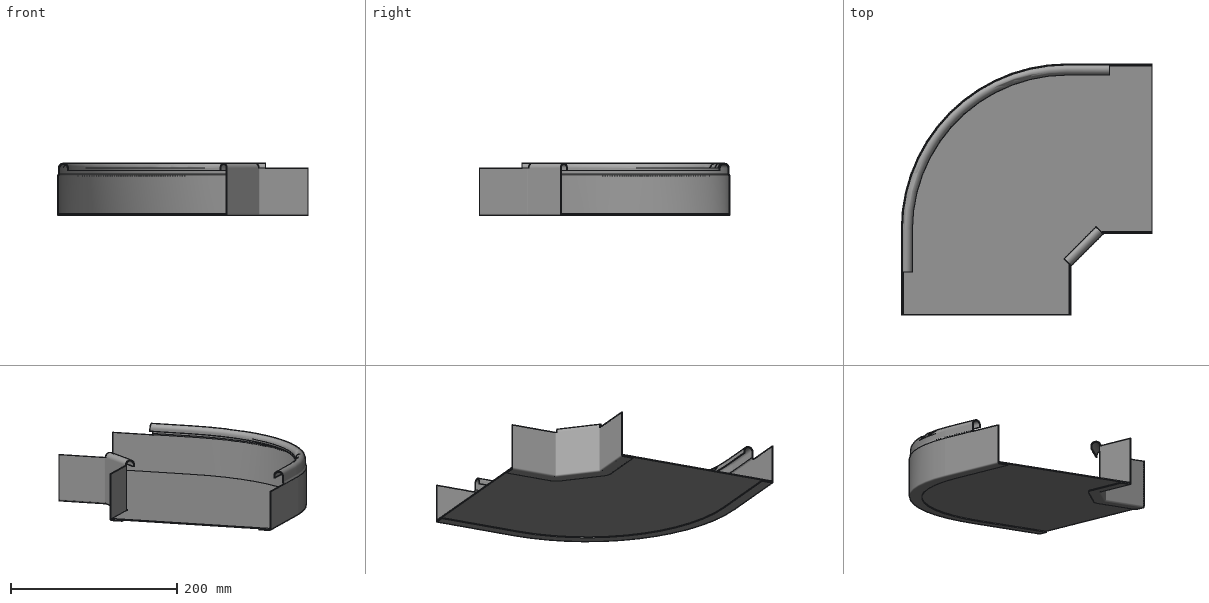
import cadquery as cq
import math

SIZE = 301.5
BEND_ANGLE = 90.0
HEIGHT = 63.0
SHEET = 1.35
BEND_INNER = 0.75
FLOOR_INSET = 2.55
FLANGE_WIDTH = 15.0
ARC_RADIUS = 199.0
END_LENGTH = 51.2
INNER_WALL = 203.7
INNER_CORNER = 58.5
BEAD_RADIUS = 6.0
BEAD_LIP = 2.7
JOGGLE = SHEET
JOGGLE_Z = 47.5
JOGGLE_HEIGHT = 2.0
CORNER_RADIUS = 1.2

BEND_OUTER = BEND_INNER + SHEET
WALL_TOP = HEIGHT - BEAD_RADIUS
STRAIGHT_END = SIZE - ARC_RADIUS
BEAD_WIDTH = 2 * BEAD_RADIUS
COS_45 = math.sqrt(0.5)
JOGGLE_TOP = JOGGLE_Z + JOGGLE_HEIGHT
JOGGLE_ANGLE = math.atan(JOGGLE / JOGGLE_HEIGHT)
JOGGLE_SETBACK = CORNER_RADIUS * math.tan(JOGGLE_ANGLE / 2)
CORNER_ANGLE = math.radians(45)
CORNER_SETBACK = CORNER_RADIUS * math.tan(CORNER_ANGLE / 2)



def start_section(plane):
    """Flange underside and outer bend, ending on the outer face of the wall."""
    return (
        cq.Workplane(plane)
        .moveTo(FLANGE_WIDTH, SHEET)
        .lineTo(FLANGE_WIDTH, 0)
        .lineTo(BEND_OUTER, 0)
        .threePointArc(
            (BEND_OUTER * (1 - COS_45), BEND_OUTER * (1 - COS_45)),
            (0, BEND_OUTER),
        )
    )


def finish_section(section):
    """Inner face of the wall, inner bend and flange top."""
    return (
        section.lineTo(SHEET, BEND_OUTER)
        .threePointArc(
            (BEND_OUTER - BEND_INNER * COS_45, BEND_OUTER - BEND_INNER * COS_45),
            (BEND_OUTER, SHEET),
        )
        .close()
    )


def add_bead(section, offset):
    """Rolled bead and its lip, from the outer to the inner face of the wall at WALL_TOP."""
    center = offset + BEAD_RADIUS
    lip_bottom = WALL_TOP - BEAD_LIP
    return (
        section.lineTo(offset, WALL_TOP)
        .threePointArc((center, HEIGHT), (offset + BEAD_WIDTH, WALL_TOP))
        .lineTo(offset + BEAD_WIDTH, lip_bottom)
        .lineTo(offset + BEAD_WIDTH - SHEET, lip_bottom)
        .lineTo(offset + BEAD_WIDTH - SHEET, WALL_TOP)
        .threePointArc((center, HEIGHT - SHEET), (offset + SHEET, WALL_TOP))
    )


def plain_section(plane, top):
    section = start_section(plane).lineTo(0, top).lineTo(SHEET, top)
    return finish_section(section)


def joggled_bead_section(plane):
    """Wall stepping inward under the bead, with the hollow side of each step bend rounded."""
    round_x = JOGGLE_SETBACK * math.sin(JOGGLE_ANGLE)
    round_z = JOGGLE_SETBACK * math.cos(JOGGLE_ANGLE)
    section = (
        start_section(plane)
        .lineTo(0, JOGGLE_Z)
        .lineTo(JOGGLE - round_x, JOGGLE_TOP - round_z)
        .tangentArcPoint((JOGGLE, JOGGLE_TOP + JOGGLE_SETBACK), relative=False)
    )
    section = (
        add_bead(section, JOGGLE)
        .lineTo(JOGGLE + SHEET, JOGGLE_TOP)
        .lineTo(SHEET + round_x, JOGGLE_Z + round_z)
        .tangentArcPoint((SHEET, JOGGLE_Z - JOGGLE_SETBACK), relative=False)
    )
    return finish_section(section)


def plain_bead_section(plane):
    return finish_section(add_bead(start_section(plane), 0))


def left_plane(y):
    """Section plane on the wall along Y, extruding toward -Y."""
    return cq.Plane(origin=(0, y, 0), xDir=(1, 0, 0), normal=(0, -1, 0))


def back_plane(x):
    """Section plane on the wall along X, extruding toward -X."""
    return cq.Plane(origin=(x, SIZE, 0), xDir=(0, -1, 0), normal=(-1, 0, 0))


def make_floor():
    """Flat plate lying on the flanges of both rails, clear of their bends."""
    arc_middle = FLOOR_INSET + (ARC_RADIUS - FLOOR_INSET) * (1 - COS_45)
    inner_x = INNER_WALL - FLOOR_INSET
    corner_y = INNER_CORNER + FLOOR_INSET * math.tan(CORNER_ANGLE / 2)
    far_corner = (SIZE - corner_y, SIZE - inner_x)
    plate = (
        cq.Workplane("XY", origin=(0, 0, SHEET))
        .moveTo(FLOOR_INSET, 0)
        .lineTo(inner_x, 0)
        .lineTo(inner_x, corner_y)
        .lineTo(*far_corner)
        .lineTo(SIZE, SIZE - inner_x)
        .lineTo(SIZE, SIZE - FLOOR_INSET)
        .lineTo(ARC_RADIUS, SIZE - FLOOR_INSET)
        .threePointArc(
            (arc_middle, SIZE - arc_middle),
            (FLOOR_INSET, STRAIGHT_END),
        )
        .close()
        .extrude(SHEET)
    )
    corner_edges = cq.selectors.BoxSelector(
        (inner_x - SHEET, corner_y - SHEET, 0),
        (far_corner[0] + SHEET, far_corner[1] + SHEET, HEIGHT),
    )
    return plate.edges("|Z").edges(corner_edges).fillet(CORNER_RADIUS + FLOOR_INSET)


def make_outer_rail():
    """Curved wall with joggled bead, and a low straight stretch at each end."""
    bead_length = STRAIGHT_END - END_LENGTH
    curve = joggled_bead_section(left_plane(STRAIGHT_END)).revolve(
        BEND_ANGLE, (ARC_RADIUS, 0), (ARC_RADIUS, -1)
    )
    straights = [
        joggled_bead_section(left_plane(STRAIGHT_END)).extrude(bead_length),
        joggled_bead_section(back_plane(SIZE - END_LENGTH)).extrude(bead_length),
        plain_section(left_plane(END_LENGTH), JOGGLE_Z).extrude(END_LENGTH),
        plain_section(back_plane(SIZE), JOGGLE_Z).extrude(END_LENGTH),
    ]
    rail = curve
    for straight in straights:
        rail = rail.union(straight)
    return rail


def make_inner_rail():
    """Two straight walls joined by a diagonal one, with a bead along the diagonal only."""
    slant = CORNER_SETBACK * COS_45
    diagonal_start = (INNER_WALL + slant, INNER_CORNER + slant)
    diagonal_end = (SIZE - diagonal_start[1], SIZE - diagonal_start[0])
    path = (
        cq.Workplane("XY")
        .moveTo(INNER_WALL, 0)
        .lineTo(INNER_WALL, INNER_CORNER - CORNER_SETBACK)
        .tangentArcPoint(diagonal_start, relative=False)
        .lineTo(*diagonal_end)
        .tangentArcPoint(
            (SIZE - INNER_CORNER + CORNER_SETBACK, SIZE - INNER_WALL), relative=False
        )
        .lineTo(SIZE, SIZE - INNER_WALL)
    )
    wall_plane = cq.Plane(origin=(INNER_WALL, 0, 0), xDir=(-1, 0, 0), normal=(0, 1, 0))
    walls = plain_section(wall_plane, WALL_TOP).sweep(path)
    diagonal_plane = cq.Plane(origin=(*diagonal_start, 0), xDir=(-1, 1, 0), normal=(1, 1, 0))
    diagonal = plain_bead_section(diagonal_plane).extrude(math.dist(diagonal_start, diagonal_end))
    return walls.union(diagonal)


floor = make_floor()
outer_rail = make_outer_rail()
inner_rail = make_inner_rail()

result = cq.Compound.makeCompound([floor.val(), outer_rail.val(), inner_rail.val()])